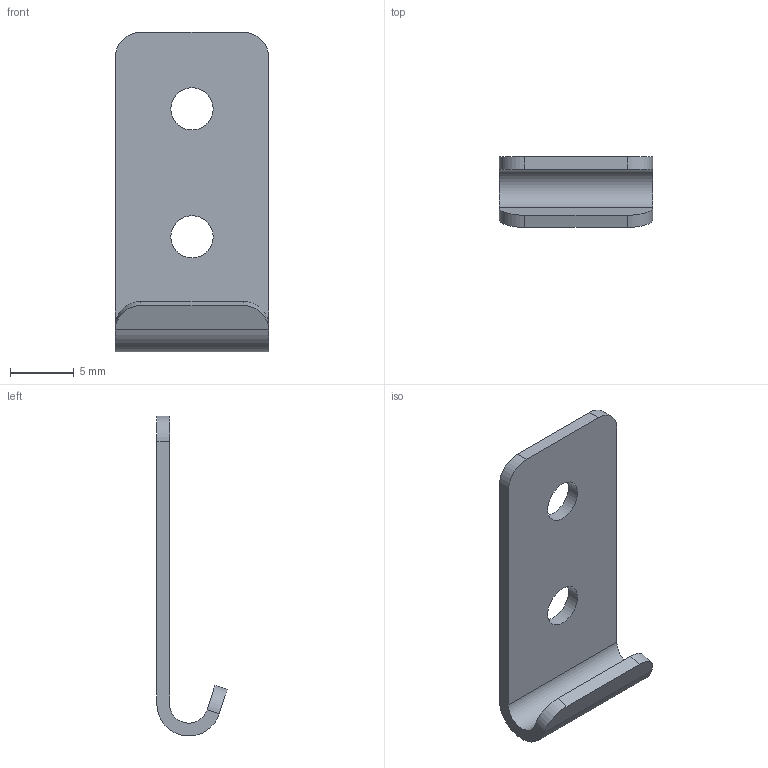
import cadquery as cq
import math

width = 12.0
height = 25.0
thickness = 1.0
inner_bend_radius = 1.5
lip_lean_deg = 18.0
lip_length = 2.0
corner_radius = 2.0
hole_diameter = 3.3
hole_heights = (9.0, 19.0)

outer_bend_radius = inner_bend_radius + thickness
bend_y = -outer_bend_radius
bend_z = outer_bend_radius
lean = math.radians(lip_lean_deg)


def bend_point(radius, angle):
    """Point (Y, Z) around the bend axis; angle 0 faces the plate, pi faces the lip."""
    return (bend_y + radius * math.cos(angle), bend_z - radius * math.sin(angle))


def along_lip(point):
    """Move a (Y, Z) point from the end of the bend to the lip's free edge."""
    return (point[0] - lip_length * math.sin(lean), point[1] + lip_length * math.cos(lean))


def bent_strip():
    """Plate, bend and lip as one side profile extruded across the width."""
    bend_angle = math.pi - lean
    outer_end = bend_point(outer_bend_radius, bend_angle)
    inner_end = bend_point(inner_bend_radius, bend_angle)
    return (
        cq.Workplane("YZ")
        .moveTo(0, height)
        .lineTo(*bend_point(outer_bend_radius, 0))
        .threePointArc(bend_point(outer_bend_radius, bend_angle / 2), outer_end)
        .lineTo(*along_lip(outer_end))
        .lineTo(*along_lip(inner_end))
        .lineTo(*inner_end)
        .threePointArc(
            bend_point(inner_bend_radius, bend_angle / 2),
            bend_point(inner_bend_radius, 0),
        )
        .lineTo(-thickness, height)
        .close()
        .extrude(width / 2, both=True)
    )


def corner_waste(side):
    """Waste outside a rounded corner, drawn with the free edge along local Y = 0."""
    edge_x = side * width / 2
    arc_start_x = side * (width / 2 - corner_radius)
    arc_inset = corner_radius * (1 - math.sqrt(0.5))
    return (
        cq.Workplane("XZ")
        .moveTo(arc_start_x, 0)
        .threePointArc((edge_x - side * arc_inset, -arc_inset), (edge_x, -corner_radius))
        .lineTo(edge_x, 0)
        .close()
        .extrude(thickness)
    )


def round_plate_corners(body):
    """Round both top corners of the plate."""
    for side in (-1, 1):
        body = body.cut(corner_waste(side).translate((0, 0, height)))
    return body


def round_lip_corners(body):
    """Round both corners of the leaning lip's free edge."""
    inner_end = bend_point(inner_bend_radius, math.pi - lean)
    edge_y, edge_z = along_lip(inner_end)
    for side in (-1, 1):
        waste = corner_waste(side).rotate((0, 0, 0), (1, 0, 0), lip_lean_deg)
        body = body.cut(waste.translate((0, edge_y, edge_z)))
    return body


def cut_screw_holes(body):
    """Drill the screw holes through the plate on its centreline."""
    holes = (
        cq.Workplane("XZ")
        .pushPoints([(0, z) for z in hole_heights])
        .circle(hole_diameter / 2)
        .extrude(thickness)
    )
    return body.cut(holes)


result = cut_screw_holes(round_lip_corners(round_plate_corners(bent_strip())))